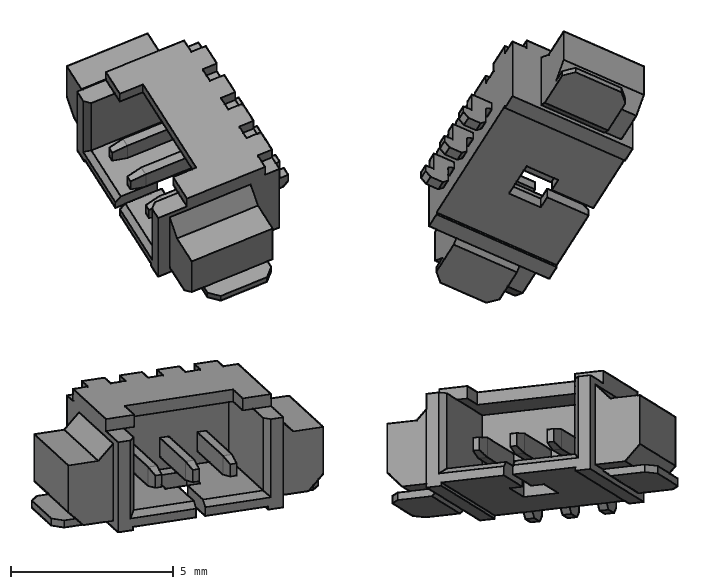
import cadquery as cq

overall_width = 8.9
overall_height = 3.4
housing_width = 5.5
housing_depth = 4.2

roof_thickness = 0.4
roof_front = 1.0
roof_window_width = 3.61
roof_window_back = 1.8
floor_top = 0.59
foot_inner_width = 4.5
foot_height = 0.11
cavity_width = 4.31
cavity_back = 2.99
mouth_chamfer = 0.19

slot_width = 0.3
opening_width = 1.16
opening_front = 1.45
opening_back = 2.55

notch_width = 0.5
notch_depth = 0.5

contact_pitch = 1.25
contact_width = 0.3
blade_bottom = 1.015
blade_height = 0.63
blade_tip = 0.39
blade_taper_start = 0.89
blade_tip_width = 0.21
blade_tip_height = 0.41
leg_embed = 0.5
leg_top = 1.36
leg_arm_bottom = 1.02
leg_gap = 0.21
leg_outer = 0.7
leg_bend_radius = 0.17
toe_reach = 1.0
toe_top = 0.52
toe_chamfer_width = 0.18
toe_chamfer_height = 0.205

wing_span = 8.49
wing_front = 0.4
wing_back = 3.2
wing_bottom = 0.24
wing_top = 2.305
wing_chamfer = 0.5
tab_front = 1.0
tab_chamfer = 0.3
tab_bevel_width = 0.25
tab_bevel_height = 0.2

shelf_height = overall_height - roof_thickness
contact_positions = [step * contact_pitch for step in (-1, 0, 1)]


def block(width, y_front, y_back, z_bottom, z_top, x_center=0):
    """Box given by its width about x_center and its limits along Y and Z."""
    return cq.Workplane("XY").box(
        width, y_back - y_front, z_top - z_bottom, centered=(True, False, False)
    ).translate((x_center, y_front, z_bottom))


def make_mouth():
    """Flared entry that bevels the front rim of the cavity sides and floor."""
    rim_width = cavity_width + 2 * mouth_chamfer
    rim_bottom = floor_top - mouth_chamfer
    return (
        cq.Workplane("XZ")
        .center(0, (rim_bottom + shelf_height) / 2)
        .rect(rim_width, shelf_height - rim_bottom)
        .workplane(offset=-mouth_chamfer)
        .center(0, mouth_chamfer / 2)
        .rect(cavity_width, shelf_height - floor_top)
        .loft(ruled=True)
    )


def make_housing():
    housing = block(housing_width, 0, housing_depth, 0, overall_height)
    housing = housing.cut(block(housing_width, 0, roof_front, shelf_height, overall_height))
    housing = housing.cut(block(roof_window_width, 0, roof_window_back, shelf_height, overall_height))
    housing = housing.cut(block(cavity_width, 0, cavity_back, floor_top, shelf_height))
    housing = housing.cut(make_mouth())
    housing = housing.cut(block(foot_inner_width, 0, housing_depth, 0, foot_height))
    housing = housing.cut(block(slot_width, 0, opening_front, 0, floor_top))
    housing = housing.cut(block(opening_width, opening_front, opening_back, 0, floor_top))

    corner_notch = (housing_width - notch_width) / 2
    for x in [-corner_notch, *contact_positions, corner_notch]:
        notch = block(
            notch_width, housing_depth - notch_depth, housing_depth, shelf_height, overall_height, x
        )
        housing = housing.cut(notch)
    return housing


def make_contact(x):
    """Tapered blade inside the cavity and bent solder leg behind the housing."""
    blade_middle = blade_bottom + blade_height / 2
    blade = block(
        contact_width, blade_taper_start, housing_depth - leg_embed,
        blade_bottom, blade_bottom + blade_height,
    )
    tip = (
        cq.Workplane("XZ", origin=(0, blade_taper_start, blade_middle))
        .rect(contact_width, blade_height)
        .workplane(offset=blade_taper_start - blade_tip)
        .rect(blade_tip_width, blade_tip_height)
        .loft(ruled=True)
    )
    leg = (
        cq.Workplane("YZ", origin=(-contact_width / 2, housing_depth, 0))
        .moveTo(-leg_embed, leg_top)
        .lineTo(leg_outer, leg_top)
        .lineTo(leg_outer, toe_top)
        .lineTo(toe_reach, toe_top)
        .lineTo(toe_reach, toe_chamfer_height)
        .lineTo(toe_reach - toe_chamfer_width, 0)
        .lineTo(leg_gap + toe_chamfer_width, 0)
        .lineTo(leg_gap, toe_chamfer_height)
        .lineTo(leg_gap, leg_arm_bottom - leg_bend_radius)
        .radiusArc((leg_gap - leg_bend_radius, leg_arm_bottom), -leg_bend_radius)
        .lineTo(-leg_embed, leg_arm_bottom)
        .close()
        .extrude(contact_width)
    )
    return blade.union(tip).union(leg).translate((x, 0, 0))


def make_wing():
    """Wing on the +X side, with sloped shoulder above and bevel below."""
    inner = housing_width / 2
    outer = wing_span / 2
    return (
        cq.Workplane("XZ", origin=(0, wing_back, 0))
        .moveTo(inner, wing_bottom)
        .lineTo(outer - wing_chamfer, wing_bottom)
        .lineTo(outer, wing_bottom + wing_chamfer)
        .lineTo(outer, wing_top)
        .lineTo(inner + wing_chamfer, wing_top)
        .lineTo(inner, wing_top + wing_chamfer)
        .close()
        .extrude(wing_back - wing_front)
    )


def make_tab():
    """Solder tab under the +X wing, beveled below where it meets the housing."""
    inner = housing_width / 2
    outer = overall_width / 2
    return (
        cq.Workplane("XZ", origin=(0, wing_back, 0))
        .moveTo(inner, wing_bottom)
        .lineTo(inner, tab_bevel_height)
        .lineTo(inner + tab_bevel_width, 0)
        .lineTo(outer, 0)
        .lineTo(outer, wing_bottom)
        .close()
        .extrude(wing_back - tab_front)
        .edges("|Z and >X")
        .chamfer(tab_chamfer)
    )


side = make_wing().union(make_tab())
result = make_housing().union(side).union(side.mirror("YZ"))
for position in contact_positions:
    result = result.union(make_contact(position))